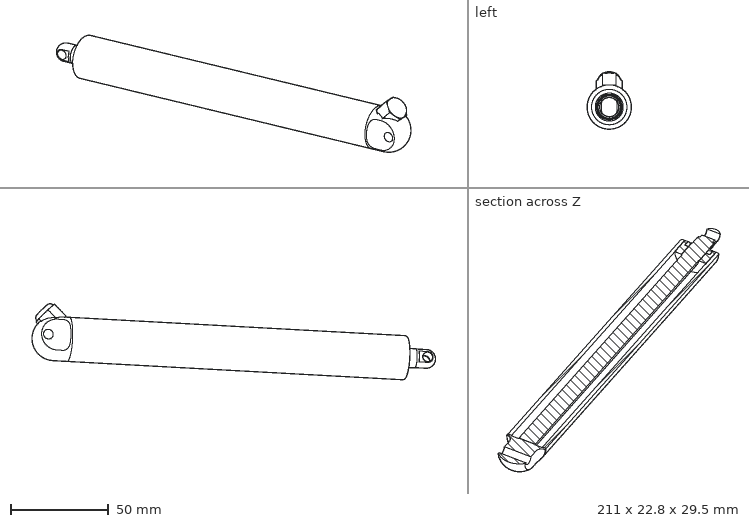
import cadquery as cq
import math

total_length = 211.0
tube_start = 15.5
tube_end = 192.2

tube_diameter = 22.8
bore_diameter = 18.1
tube_edge_fillet = 1.3
tube_radius = tube_diameter / 2

gland_length = 10.5
wiper_diameter = 14.3
wiper_length = 3.2
groove_outer_radius = 6.5
groove_inner_radius = 5.7
groove_depth = 0.6

rod_diameter = 10.0
rod_radius = rod_diameter / 2
eye_neck_diameter = 9.7
eye_length = 10.5
eye_radius = eye_neck_diameter / 2
eye_flat_thickness = 7.8
eye_flat_end = 9.3
pin_hole_diameter = 5.0

dome_center = total_length - tube_radius
clevis_thickness = 15.8
clevis_flat_start = 196.7
clevis_hole_x = 204.2
clevis_shoulder_radius = tube_radius - clevis_thickness / 2

fitting_axis_x = 191.0
fitting_tilt = 45
fitting_base = 10.1
hex_end = 18.8
fitting_end = 21.0
hex_corner_diameter = 13.5
crown_radius = hex_corner_diameter / 2 * math.cos(math.radians(30))
crown_fillet = 2.1


def x_cylinder(diameter, start, end):
    """Solid cylinder on the X axis."""
    return cq.Workplane("YZ", origin=(start, 0, 0)).circle(diameter / 2).extrude(end - start)


def cross_hole(x):
    """Cutter for a pin hole along Y through the whole width."""
    drill = cq.Workplane("XZ", origin=(x, 0, 0)).circle(pin_hole_diameter / 2)
    return drill.extrude(tube_diameter, both=True)


def make_tube():
    tube = x_cylinder(tube_diameter, tube_start, tube_end)
    tube = tube.faces("<X").edges().fillet(tube_edge_fillet)
    return tube.cut(x_cylinder(bore_diameter, tube_start, tube_end))


def make_gland():
    gland_end = tube_start + gland_length
    gland = x_cylinder(bore_diameter, tube_start, gland_end)
    gland = gland.cut(x_cylinder(rod_diameter, tube_start, gland_end))
    return gland.cut(x_cylinder(wiper_diameter, tube_start, tube_start + wiper_length))


def make_wiper():
    """Ring around the rod with a V groove in its front face."""
    groove_middle_radius = (groove_outer_radius + groove_inner_radius) / 2
    wiper_end = tube_start + wiper_length
    profile = [
        (tube_start, rod_radius),
        (tube_start, groove_inner_radius),
        (tube_start + groove_depth, groove_middle_radius),
        (tube_start, groove_outer_radius),
        (tube_start, wiper_diameter / 2),
        (wiper_end, wiper_diameter / 2),
        (wiper_end, rod_radius),
    ]
    return cq.Workplane("XY").polyline(profile).close().revolve(360, (0, 0, 0), (1, 0, 0))


def make_rod():
    """Rod reaching to the clevis, with a flattened ball eye at its free end."""
    arc_offset = eye_radius * math.sqrt(0.5)
    rod = (
        cq.Workplane("XY")
        .threePointArc((eye_radius - arc_offset, arc_offset), (eye_radius, eye_radius))
        .lineTo(eye_length, eye_radius)
        .lineTo(eye_length, rod_radius)
        .lineTo(tube_end, rod_radius)
        .lineTo(tube_end, 0)
        .close()
        .revolve(360, (0, 0, 0), (1, 0, 0))
    )
    for side in (-1, 1):
        pad_center_y = side * (eye_flat_thickness + eye_radius) / 2
        pad = cq.Workplane("XY").box(2 * eye_flat_end, eye_radius, rod_diameter)
        rod = rod.cut(pad.translate((0, pad_center_y, 0)))
    return rod.cut(cross_hole(eye_radius))


def make_fitting():
    """Hexagon with a rounded crown, its flats facing up and down the tilt."""
    fitting = (
        cq.Workplane("XY", origin=(0, 0, fitting_base))
        .polygon(6, hex_corner_diameter)
        .extrude(hex_end - fitting_base)
        .rotate((0, 0, 0), (0, 0, 1), 90)
    )
    crown = cq.Workplane("XY", origin=(0, 0, hex_end)).circle(crown_radius)
    crown = crown.extrude(fitting_end - hex_end)
    crown = crown.faces(">Z").edges().fillet(crown_fillet)
    fitting = fitting.union(crown)
    return fitting.rotate((0, 0, 0), (0, 1, 0), fitting_tilt).translate((fitting_axis_x, 0, 0))


def make_clevis(fitting):
    """Domed end with two side flats, a pin hole and a seat for the fitting."""
    dome_offset = tube_radius * math.sqrt(0.5)
    clevis = (
        cq.Workplane("XY")
        .moveTo(tube_end, 0)
        .lineTo(tube_end, tube_radius)
        .lineTo(dome_center, tube_radius)
        .threePointArc((dome_center + dome_offset, dome_offset), (total_length, 0))
        .close()
        .revolve(360, (0, 0, 0), (1, 0, 0))
    )
    shoulder_start = clevis_flat_start - clevis_shoulder_radius
    shoulder_offset = clevis_shoulder_radius * (1 - math.sqrt(0.5))
    flat_y = clevis_thickness / 2
    shoulder_middle = (shoulder_start + shoulder_offset, flat_y + shoulder_offset)
    relief = (
        cq.Workplane("XY")
        .moveTo(shoulder_start, tube_radius)
        .threePointArc(shoulder_middle, (clevis_flat_start, flat_y))
        .lineTo(total_length, flat_y)
        .lineTo(total_length, tube_radius)
        .close()
        .extrude(tube_diameter, both=True)
    )
    clevis = clevis.cut(relief).cut(relief.mirror("XZ"))
    return clevis.cut(cross_hole(clevis_hole_x)).cut(fitting)


tube = make_tube()
gland = make_gland()
wiper = make_wiper()
rod = make_rod()
fitting = make_fitting()
clevis = make_clevis(fitting)

result = cq.Compound.makeCompound(
    [tube.val(), gland.val(), wiper.val(), rod.val(), fitting.val(), clevis.val()]
)